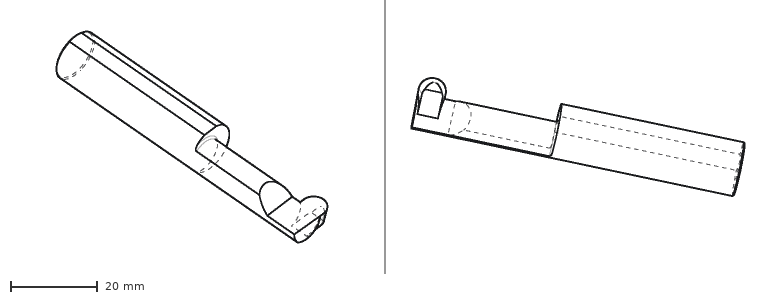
import cadquery as cq
import math

total_length = 76.2

shank_diameter = 12.7
shank_radius = shank_diameter / 2
shank_length = 43.18
shank_flat_height = 6.04
shank_chamfer = 0.3

neck_radius = 4.5
neck_offset = -2.5
neck_fillet = 0.5

rake_start = 67.3
rake_angle = 45

head_radius = 3.2
head_center_x = total_length - head_radius
head_center_y = shank_radius - head_radius
head_depth = neck_radius
flank_relief_angle = 10
end_relief_angle = 2


def cylinder_along_x(radius, length, start=0, offset=0):
    """Solid round bar parallel to X, shifted sideways in Y by offset."""
    return cq.Workplane("YZ", origin=(start, 0, 0)).center(offset, 0).circle(radius).extrude(length)


def make_shank():
    """Round shank with a chamfered rear end and a clamping flat on top."""
    shank = cylinder_along_x(shank_radius, shank_length).faces("<X").chamfer(shank_chamfer)
    above_flat = (
        cq.Workplane("XY", origin=(0, 0, shank_flat_height))
        .rect(2 * shank_length, shank_diameter)
        .extrude(shank_radius)
    )
    return shank.cut(above_flat)


def make_neck():
    """Eccentric round neck trimmed to the shank's own cylinder, flared at the shoulder."""
    neck_length = total_length - shank_length
    neck = cylinder_along_x(neck_radius, neck_length, shank_length, neck_offset)
    flare_profile = (
        cq.Workplane("XY", origin=(shank_length, neck_offset, 0))
        .lineTo(0, neck_radius + neck_fillet)
        .radiusArc((neck_fillet, neck_radius), -neck_fillet)
        .lineTo(neck_fillet, 0)
        .close()
    )
    flare = flare_profile.revolve(360, (0, 0, 0), (1, 0, 0))
    envelope = cylinder_along_x(shank_radius, neck_length, shank_length)
    return neck.union(flare).intersect(envelope)


def make_rake_cut():
    """Space above the rake face in the axis plane and its sloped run-out."""
    slope_run = shank_radius / math.tan(math.radians(rake_angle))
    return (
        cq.Workplane("XZ")
        .moveTo(rake_start, 0)
        .lineTo(rake_start - slope_run, shank_radius)
        .lineTo(total_length, shank_radius)
        .lineTo(total_length, 0)
        .close()
        .extrude(shank_radius, both=True)
    )


def make_head():
    """Round-nosed cutting head, tapering in below the rake face, trimmed to the shank cylinder."""
    blank = (
        cq.Workplane("XY")
        .moveTo(head_center_x - head_radius, neck_offset)
        .lineTo(head_center_x - head_radius, head_center_y)
        .threePointArc((head_center_x, shank_radius), (total_length, head_center_y))
        .lineTo(total_length, neck_offset)
        .close()
        .extrude(-head_depth, taper=flank_relief_angle)
    )
    return blank.intersect(cylinder_along_x(shank_radius, total_length))


def make_end_relief_cut():
    """Wedge beyond the slanted end face, which falls back from the nose towards -Y."""
    relief_width = head_center_y + shank_radius
    relief_depth = relief_width * math.tan(math.radians(end_relief_angle))
    return (
        cq.Workplane("XY", origin=(total_length, head_center_y, 0))
        .lineTo(-relief_depth, -relief_width)
        .lineTo(0, -relief_width)
        .close()
        .extrude(shank_radius, both=True)
    )


neck = make_neck().cut(make_rake_cut())
result = make_shank().union(neck).union(make_head()).cut(make_end_relief_cut())